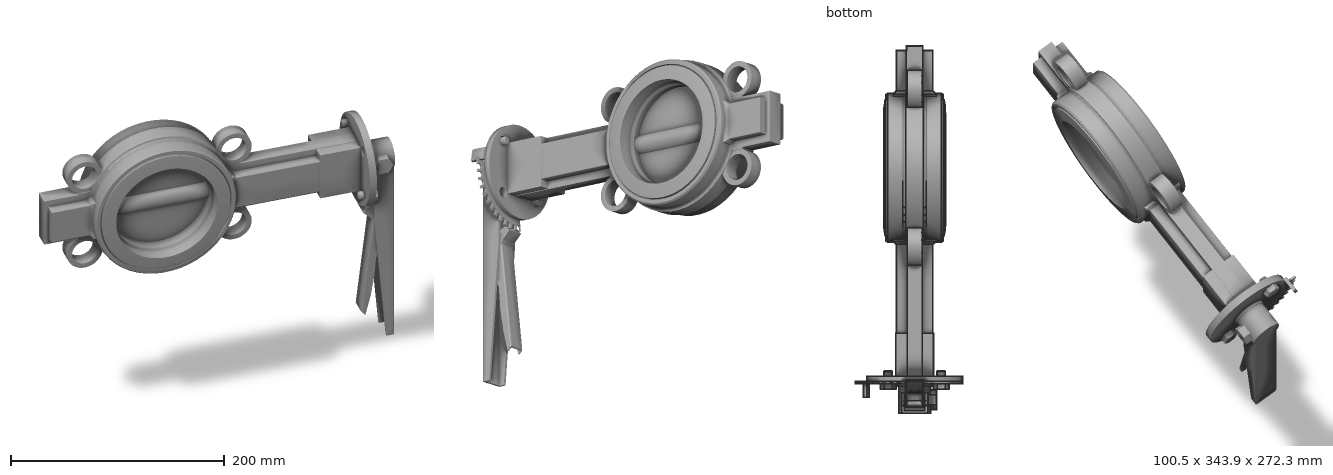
import cadquery as cq
import math


rib_radius = 72.5
rib_half_width = 8.2
shell_radius = 139.5 / 2
rib_fillet = rib_radius - shell_radius
shell_half_width = 25
body_half_width = 26.8
face_edge_radius = 68.4
recess_radius = 130 / 2
recess_floor = 24
body_bore_radius = 58

lip_radius = 127 / 2
lip_edge_x = 27.6
seat_half_width = 29
crown_mid_radius = 57
crown_mid_x = 28.7
seat_mouth_radius = 100 / 2
seat_land_radius = 96 / 2
land_half_width = 11
ramp_end_x = 14

disc_thickness = 8
hub_diameter = 20

flange_bottom = 195
flange_thickness = 5
flange_diameter = 90
neck_web_height = 50
foot_web_height = 49
neck_web_width = 14
foot_web_width = 15.5
foot_web_end = -114
foot_box_end = -109.7
box_width = 34.4
box_height = 34.4
box_edge_fillet = 0.8
block_width = 35.6
block_height = 49
block_start = 155
flare_root = 64
flare_end = 71.8
flare_size = 3
flare_slope = 45
root_depth = 60

lug_pitch_radius = 170 / 2
lug_angle = 30
lug_outer_diameter = 35
lug_hole_diameter = 25
lug_width = 14
gusset_end = 79.8
gusset_height = 52

bolt_pitch_diameter = 70
bolt_offset = bolt_pitch_diameter / 2 * math.sin(math.radians(45))
bolt_hole_diameter = 10
bolt_diameter = 8
bolt_head_width = 13
bolt_head_height = 5.5
bolt_tip = 190
bolt_tip_chamfer = 1
bolt_head_chamfer = 0.8

plate_bottom = flange_bottom + flange_thickness
plate_thickness = 2
plate_top = plate_bottom + plate_thickness
tooth_radius = 55.5
sector_start = 178
sector_end = 278
notch_count = 12
notch_pitch = 8.2
first_notch = 185
notch_width = 5
notch_bottom_radius = 50
tab_angle = 168
tab_radius = 46.2
tab_length = 12
tab_thickness = 3.2
tab_top = 215

lever_top = 229.86
boss_diameter = 30
boss_rim_diameter = 32
boss_rim_top = 204.4
arm_width = 24.4
arm_wall = 2.5
arm_underside = 210.6
overall_height = 272.25
arm_end_z = rib_radius - overall_height
arm_taper_z = -66
arm_tip_y = 222.2
arm_edge_fillet = 1.2
channel_top_z = -16
screw_width = 16
screw_y = 217.2
screw_end_x = 20.5

pivot_diameter = 5
pivot_y = 220.8
pivot_z = -70
trigger_width = 17.4
trigger_edge_fillet = 1.5
trigger_wall = 1.5
pivot_end_y = 224
pivot_end_half_height = 6
grip_top = (210, -68.4)
grip_bottom = (198.4, -169.5)
grip_heel = (202.6, -174)
grip_back_middle = (207.9, -152.8)
grip_back_top = (213.2, -110.6)
nose_back = (208.6, -53.8)
nose_crown = (205.4, -52.6)
nose_front = (202.4, -55.1)
nose_tip = (200.4, -57.2)
nose_foot = (208.4, -65)


def box_between(x_size, y_start, y_end, z_size):
    """Box centred on X and Z, running from y_start to y_end."""
    return cq.Workplane("XY").box(x_size, y_end - y_start, z_size).translate((0, (y_start + y_end) / 2, 0))


def disk_along_y(diameter, y_start, y_end):
    """Round disk on the stem axis."""
    return cq.Workplane("XZ", origin=(0, y_start, 0)).circle(diameter / 2).extrude(y_start - y_end)


def disk_along_x(diameter, width):
    """Round disk on the flow axis, centred on the origin."""
    return cq.Workplane("YZ", origin=(-width / 2, 0, 0)).circle(diameter / 2).extrude(width)


def revolve_about_x(half_profile):
    """Turn an (x, radius) profile drawn on the XY plane about the flow axis."""
    return half_profile.close().revolve(360, (0, 0, 0), (1, 0, 0))


def across_corners(across_flats):
    return across_flats / math.cos(math.radians(30))


def body_ring():
    fillet_mid = rib_fillet * (1 - math.sin(math.radians(45)))
    shoulder = rib_half_width + rib_fillet
    return revolve_about_x(
        cq.Workplane("XY")
        .moveTo(-body_half_width, recess_radius)
        .lineTo(-body_half_width, face_edge_radius)
        .lineTo(-shell_half_width, shell_radius)
        .lineTo(-shoulder, shell_radius)
        .threePointArc(
            (-rib_half_width - fillet_mid, shell_radius + fillet_mid),
            (-rib_half_width, rib_radius),
        )
        .lineTo(rib_half_width, rib_radius)
        .threePointArc((rib_half_width + fillet_mid, shell_radius + fillet_mid), (shoulder, shell_radius))
        .lineTo(shell_half_width, shell_radius)
        .lineTo(body_half_width, face_edge_radius)
        .lineTo(body_half_width, recess_radius)
        .lineTo(recess_floor, recess_radius)
        .lineTo(recess_floor, body_bore_radius)
        .lineTo(-recess_floor, body_bore_radius)
        .lineTo(-recess_floor, recess_radius)
    )


def flare(side):
    """Sloped collar where the neck (side 1) or foot (side -1) box leaves the ring."""
    base_width = box_width + 2 * flare_size
    base_height = box_height + 2 * flare_size
    slope_start = flare_end - flare_size
    collar = (
        cq.Workplane("XZ", origin=(0, slope_start, 0))
        .rect(base_width, base_height)
        .extrude(-flare_size, taper=flare_slope)
    )
    collar = collar.union(box_between(base_width, flare_root, slope_start, base_height))
    return collar if side > 0 else collar.mirror("XZ")


def neck():
    web = box_between(neck_web_width, root_depth, flange_bottom, neck_web_height)
    box = box_between(box_width, root_depth, flange_bottom, box_height).edges("|Y").fillet(box_edge_fillet)
    block = box_between(block_width, block_start, flange_bottom, block_height)
    flange = disk_along_y(flange_diameter, flange_bottom, plate_bottom)
    flange = (
        flange.faces("<Y")
        .workplane(origin=(0, 0, 0))
        .rect(2 * bolt_offset, 2 * bolt_offset, forConstruction=True)
        .vertices()
        .hole(bolt_hole_diameter)
    )
    gusset = box_between(neck_web_width, root_depth, gusset_end, gusset_height)
    return web.union(gusset).union(box).union(block).union(flange)


def foot():
    web = box_between(foot_web_width, foot_web_end, -root_depth, foot_web_height)
    box = box_between(box_width, foot_box_end, -root_depth, box_height).edges("|Y").fillet(box_edge_fillet)
    gusset = box_between(foot_web_width, -gusset_end, -root_depth, gusset_height)
    return web.union(gusset).union(box)


lug_y = lug_pitch_radius * math.cos(math.radians(lug_angle))
lug_z = lug_pitch_radius * math.sin(math.radians(lug_angle))


def lug_cylinders(diameter):
    return (
        cq.Workplane("YZ", origin=(-lug_width / 2, 0, 0))
        .rect(2 * lug_y, 2 * lug_z, forConstruction=True)
        .vertices()
        .circle(diameter / 2)
        .extrude(lug_width)
    )


def make_housing():
    arms = neck().union(foot()).union(flare(1)).union(flare(-1))
    arms = arms.union(lug_cylinders(lug_outer_diameter))
    ring_bore = disk_along_x(2 * recess_radius, 2 * body_half_width)
    shape = body_ring().union(arms.cut(ring_bore))
    return shape.cut(lug_cylinders(lug_hole_diameter))


def make_seat():
    return revolve_about_x(
        cq.Workplane("XY")
        .moveTo(-recess_floor, body_bore_radius)
        .lineTo(-recess_floor, lip_radius)
        .lineTo(-lip_edge_x, lip_radius)
        .threePointArc((-crown_mid_x, crown_mid_radius), (-seat_half_width, seat_mouth_radius))
        .lineTo(-ramp_end_x, seat_mouth_radius)
        .lineTo(-land_half_width, seat_land_radius)
        .lineTo(land_half_width, seat_land_radius)
        .lineTo(ramp_end_x, seat_mouth_radius)
        .lineTo(seat_half_width, seat_mouth_radius)
        .threePointArc((crown_mid_x, crown_mid_radius), (lip_edge_x, lip_radius))
        .lineTo(recess_floor, lip_radius)
        .lineTo(recess_floor, body_bore_radius)
    )


def make_disc():
    plate = disk_along_x(2 * seat_land_radius, disc_thickness)
    bore = disk_along_x(2 * seat_land_radius, 2 * land_half_width)
    hub = disk_along_y(hub_diameter, -seat_land_radius, seat_land_radius)
    return plate.union(hub.intersect(bore))


bolt_places = [(-bolt_offset, bolt_offset), (bolt_offset, -bolt_offset)]


def make_bolt(x, z):
    head = (
        cq.Workplane("XZ", origin=(x, plate_top, z))
        .polygon(6, across_corners(bolt_head_width))
        .extrude(-bolt_head_height)
    )
    crown = (
        cq.Workplane("XZ", origin=(x, plate_top, z))
        .circle(across_corners(bolt_head_width) / 2)
        .extrude(-bolt_head_height)
        .faces(">Y")
        .chamfer(bolt_head_chamfer)
    )
    shank = disk_along_y(bolt_diameter, bolt_tip, plate_top).faces("<Y").chamfer(bolt_tip_chamfer)
    return head.intersect(crown).union(shank.translate((x, 0, z)))


def polar(radius, angle):
    """Point (x, z) at an angle measured from +X towards +Z."""
    return radius * math.cos(math.radians(angle)), radius * math.sin(math.radians(angle))


def make_stop_plate():
    plate = disk_along_y(flange_diameter, plate_bottom, plate_top)
    sector = (
        cq.Workplane("XZ", origin=(0, plate_bottom, 0))
        .lineTo(*polar(tooth_radius, sector_start))
        .threePointArc(
            polar(tooth_radius, (sector_start + sector_end) / 2),
            polar(tooth_radius, sector_end),
        )
        .close()
        .extrude(-plate_thickness)
    )
    plate = plate.union(sector)

    notch_length = 2 * (tooth_radius - notch_bottom_radius)
    for index in range(notch_count):
        angle = first_notch + index * notch_pitch
        x, z = polar(notch_bottom_radius + notch_length / 2, angle)
        notch = (
            cq.Workplane("XZ", origin=(x, plate_bottom, z))
            .slot2D(notch_length, notch_width, angle)
            .extrude(-plate_thickness)
        )
        plate = plate.cut(notch)

    tab_x, tab_z = polar(tab_radius, tab_angle)
    tab = (
        box_between(tab_thickness, plate_bottom, tab_top, tab_length)
        .rotate((0, 0, 0), (0, 1, 0), 180 - tab_angle)
        .translate((tab_x, 0, tab_z))
    )
    plate = plate.union(tab)

    bolt_holes = cq.Workplane("XZ", origin=(0, plate_bottom, 0)).pushPoints(bolt_places)
    return plate.cut(bolt_holes.circle(bolt_diameter / 2).extrude(-plate_thickness))


def pivot_pin():
    return (
        cq.Workplane("YZ", origin=(-arm_width / 2, pivot_y, pivot_z))
        .circle(pivot_diameter / 2)
        .extrude(arm_width)
    )


def make_lever():
    boss = disk_along_y(boss_diameter, plate_top, lever_top)
    boss = boss.union(disk_along_y(boss_rim_diameter, plate_top, boss_rim_top))

    arm = (
        cq.Workplane("YZ", origin=(-arm_width / 2, 0, 0))
        .moveTo(lever_top, 0)
        .lineTo(arm_underside, 0)
        .lineTo(arm_underside, arm_taper_z)
        .lineTo(arm_tip_y, arm_end_z)
        .lineTo(lever_top, arm_end_z)
        .close()
        .extrude(arm_width)
        .faces(">Y").edges("|Z").fillet(arm_edge_fillet)
    )
    channel_length = channel_top_z - arm_end_z
    channel = cq.Workplane("XY").box(
        arm_width - 2 * arm_wall, lever_top - arm_wall, channel_length, centered=(True, False, False)
    )
    arm = arm.cut(channel.translate((0, 0, arm_end_z)))

    screw = (
        cq.Workplane("YZ", origin=(0, screw_y, 0))
        .polygon(6, across_corners(screw_width))
        .extrude(screw_end_x)
    )
    return boss.union(arm).union(screw).cut(pivot_pin())


def make_trigger():
    blade = (
        cq.Workplane("YZ", origin=(-trigger_width / 2, 0, 0))
        .moveTo(*grip_top)
        .lineTo(*grip_bottom)
        .lineTo(*grip_heel)
        .threePointArc(grip_back_middle, grip_back_top)
        .lineTo(pivot_end_y, pivot_z - pivot_end_half_height)
        .lineTo(pivot_end_y, pivot_z + pivot_end_half_height)
        .lineTo(*nose_back)
        .threePointArc(nose_crown, nose_front)
        .lineTo(*nose_tip)
        .lineTo(*nose_foot)
        .close()
        .extrude(trigger_width)
    )
    grip_middle_y = (grip_top[0] + grip_bottom[0]) / 2
    grip_middle_z = (grip_top[1] + grip_bottom[1]) / 2
    for side in (-1, 1):
        edge_middle = (side * trigger_width / 2, grip_middle_y, grip_middle_z)
        blade = blade.edges(cq.selectors.NearestToPointSelector(edge_middle)).fillet(trigger_edge_fillet)

    run = grip_bottom[1] - grip_top[1]
    lean = grip_bottom[0] - grip_top[0]
    hollow_depth = pivot_end_y - grip_bottom[0]
    hollow_width = trigger_width - 2 * trigger_wall
    hollow = (
        cq.Workplane("YZ", origin=(-hollow_width / 2, 0, 0))
        .moveTo(grip_top[0] + trigger_wall, grip_top[1])
        .line(2 * lean, 2 * run)
        .line(hollow_depth, 0)
        .lineTo(pivot_end_y, grip_top[1])
        .close()
        .extrude(hollow_width)
    )
    return blade.cut(hollow).union(pivot_pin())


housing = make_housing()
seat = make_seat()
disc = make_disc()
stop_plate = make_stop_plate()
lever = make_lever()
trigger = make_trigger()
bolts = [make_bolt(x, z) for x, z in bolt_places]

result = cq.Compound.makeCompound(
    [housing.val(), seat.val(), disc.val(), stop_plate.val(), lever.val(), trigger.val()]
    + [bolt.val() for bolt in bolts]
)